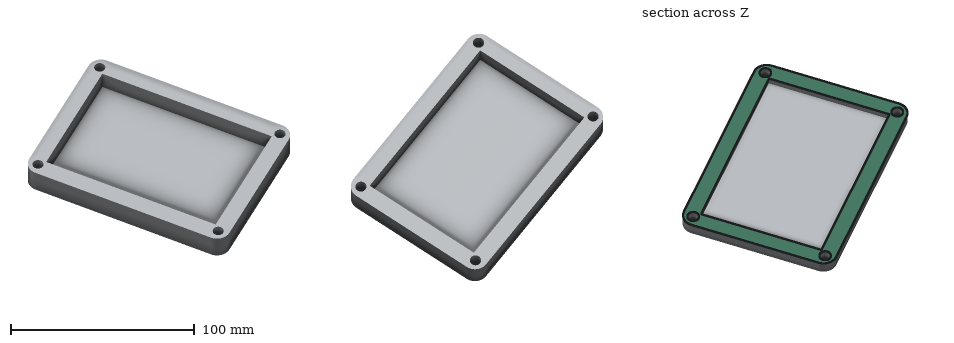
import cadquery as cq

length = 121.0
width = 89.0
height = 14.0
corner_radius = 7.5

pocket_length = 102.4
pocket_width = 69.9
pocket_depth = 11.0

hole_diameter = 6.0
hole_inset = 6.0


def make_block():
    """Plate with rounded vertical corners, standing on Z = 0."""
    block = cq.Workplane("XY").box(length, width, height, centered=(True, True, False))
    return block.edges("|Z").fillet(corner_radius)


def cut_pocket(body):
    """Sink the sharp-cornered pocket, leaving a solid floor."""
    return body.faces(">Z").workplane().rect(pocket_length, pocket_width).cutBlind(-pocket_depth)


def cut_corner_holes(body):
    """Drill a through hole in each corner of the rim."""
    spacing_x = length - 2 * hole_inset
    spacing_y = width - 2 * hole_inset
    return (
        body.faces(">Z")
        .workplane()
        .rect(spacing_x, spacing_y, forConstruction=True)
        .vertices()
        .hole(hole_diameter)
    )


result = cut_corner_holes(cut_pocket(make_block()))